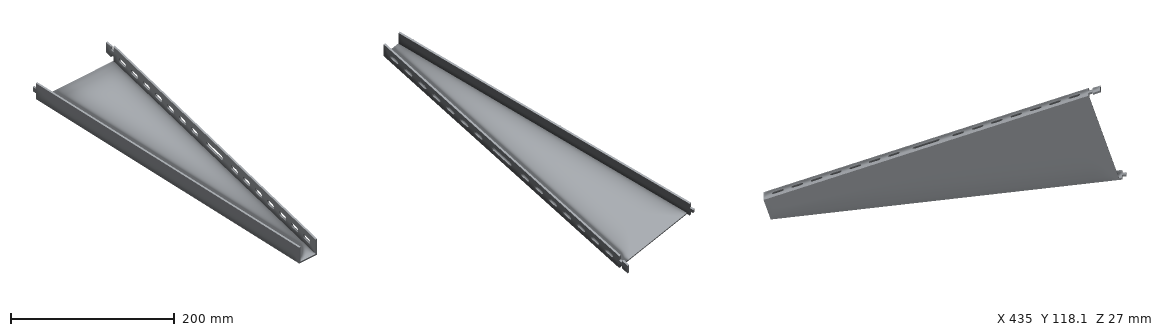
import cadquery as cq
import math

thickness = 2.5
height = 27.0
overall_length = 435.0
overall_width = 118.07

tab_centre_z = 13.75
tongue_height = 7.5
hook_neck_height = 7.5
hook_head_height = 17.5

hook_reach = 15.0
hook_head_length = 10.0
wall_length = overall_length - hook_reach

flange_angle = math.radians(12.0)
tongue_tip_x = 6.6
tongue_length = 5.0
flange_length = (overall_length - tongue_tip_x) / math.cos(flange_angle)

slot_length = 15.0
slot_height = 7.0
long_slot_length = 35.0
slot_pitch = 25.0
slots_per_side = 7
first_slot_offset = 41.5


def box_between(x_min, x_max, y_min, y_max, z_min, z_max):
    size = (x_max - x_min, y_max - y_min, z_max - z_min)
    return cq.Workplane("XY").box(*size, centered=False).translate((x_min, y_min, z_min))


def tab(x_min, x_max, y_min, y_max, tab_height):
    """Plate centred on the tab height."""
    z_min = tab_centre_z - tab_height / 2
    return box_between(x_min, x_max, y_min, y_max, z_min, z_min + tab_height)


def back_wall():
    wall = box_between(hook_reach, overall_length, -thickness, 0, 0, height)
    neck = tab(hook_head_length, hook_reach, -thickness, 0, hook_neck_height)
    head = tab(0, hook_head_length, -thickness, 0, hook_head_height)
    return wall.union(neck).union(head)


def wall_slots():
    """One long slot in the middle of the wall and a row of short slots on either side of it."""
    offsets = [first_slot_offset + i * slot_pitch for i in range(slots_per_side)]
    short_centres = [(side * offset, 0) for offset in offsets for side in (-1, 1)]
    wall_centre = (hook_reach + wall_length / 2, 0, height / 2)
    plane = cq.Workplane("XZ", origin=wall_centre)
    short_slots = plane.pushPoints(short_centres).slot2D(slot_length, slot_height).extrude(thickness)
    long_slot = plane.slot2D(long_slot_length, slot_height).extrude(thickness)
    return short_slots.union(long_slot)


def front_flange():
    """Flange with a tongue, built along X from the tongue tip and then turned about that tip."""
    wall = box_between(tongue_length, flange_length, 0, thickness, 0, height)
    tongue = tab(0, tongue_length, 0, thickness, tongue_height)
    flange = wall.union(tongue).rotate((0, 0, 0), (0, 0, 1), math.degrees(flange_angle))
    return flange.translate((tongue_tip_x, -overall_width, 0))


def flange_mid_y(x):
    """Y of the flange's middle plane at a given X."""
    outer_y = -overall_width + (x - tongue_tip_x) * math.tan(flange_angle)
    return outer_y + thickness / 2 / math.cos(flange_angle)


def base_plate():
    """Tapered floor whose slanted edge runs inside the front flange, along its middle plane."""
    outline = [
        (hook_reach, 0),
        (overall_length, 0),
        (overall_length, flange_mid_y(overall_length)),
        (hook_reach, flange_mid_y(hook_reach)),
    ]
    return cq.Workplane("XY").polyline(outline).close().extrude(thickness)


result = back_wall().cut(wall_slots()).union(base_plate()).union(front_flange())